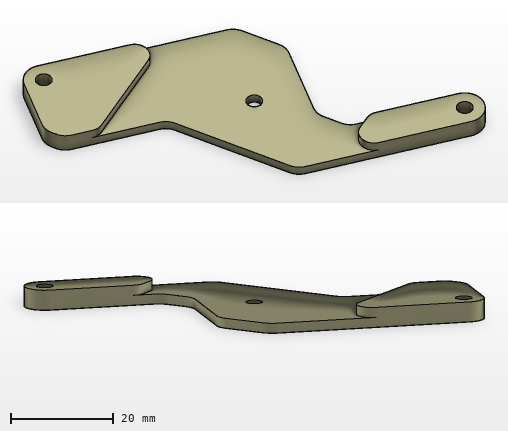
import cadquery as cq
import math

length = 83.6
half_width = 20.0
plate_thickness = 2.0
full_thickness = 4.0
corner_radius = 4.0
pad_radius = 3.0
hole_diameter = 3.2
touch_tolerance = 1e-6

half_length = length / 2
arm_inner_x = half_width - 2 * corner_radius
foot_right_x = -0.05
shoulder_y = 10.4
shoulder_chamfer = 8.0
arm_root_chamfer = 5.0
foot_chamfer = 2.95
slant_bottom_y = -17.65
slant_top_y = slant_bottom_y + half_width - foot_right_x
pad_edge_offset = 31.75

hole_x = half_width - corner_radius
hole_y = half_length - corner_radius
hole_centres = [(0, 0), (hole_x, hole_y), (-hole_x, -hole_y)]

arm_end_corners = [
    (half_width, half_length, corner_radius),
    (arm_inner_x, half_length, corner_radius),
]
foot_end_corners = [
    (-half_width, -half_length, corner_radius),
    (foot_right_x - foot_chamfer, -half_length, corner_radius),
    (foot_right_x, -half_length + foot_chamfer, corner_radius),
]
shoulder_corners = [
    (arm_inner_x, shoulder_y + arm_root_chamfer, corner_radius),
    (arm_inner_x - arm_root_chamfer, shoulder_y, corner_radius),
    (-half_width + shoulder_chamfer, shoulder_y, corner_radius),
    (-half_width, shoulder_y - shoulder_chamfer, corner_radius),
]
slant_corners = [
    (foot_right_x, slant_bottom_y, corner_radius),
    (half_width, slant_top_y, corner_radius),
]
arm_pad_edge_corners = [
    (arm_inner_x, pad_edge_offset - arm_inner_x, pad_radius),
    (half_width, pad_edge_offset - half_width, pad_radius),
]
foot_pad_edge_corners = [
    (foot_right_x, -pad_edge_offset - foot_right_x, pad_radius),
    (-half_width, -pad_edge_offset + half_width, pad_radius),
]


def corner_arc(previous, corner, following):
    """Start, middle and end of the tangent arc that rounds one outline corner."""
    x, y, radius = corner
    point = cq.Vector(x, y)
    back = (cq.Vector(previous[0], previous[1]) - point).normalized()
    ahead = (cq.Vector(following[0], following[1]) - point).normalized()
    half_angle = back.getAngle(ahead) / 2
    tangent_length = radius / math.tan(half_angle)
    middle_distance = radius / math.sin(half_angle) - radius
    middle = point + (back + ahead).normalized() * middle_distance
    return point + back * tangent_length, middle, point + ahead * tangent_length


def rounded_prism(corners, height):
    """Extrude a closed outline with rounded corners upward from Z = 0."""
    count = len(corners)
    arcs = [corner_arc(corners[i - 1], corners[i], corners[(i + 1) % count]) for i in range(count)]
    outline_start = arcs[0][0]
    path = cq.Workplane("XY").moveTo(outline_start.x, outline_start.y)
    position = outline_start
    for start, middle, end in arcs:
        if not position.toPnt().IsEqual(start.toPnt(), touch_tolerance):
            path = path.lineTo(start.x, start.y)
        path = path.threePointArc(middle.toTuple()[:2], end.toTuple()[:2])
        position = end
    return path.close().extrude(height)


plate = rounded_prism(arm_end_corners + shoulder_corners + foot_end_corners + slant_corners, plate_thickness)
arm_pad = rounded_prism(arm_end_corners + arm_pad_edge_corners, full_thickness)
foot_pad = rounded_prism(foot_end_corners + foot_pad_edge_corners, full_thickness)
holes = cq.Workplane("XY").pushPoints(hole_centres).circle(hole_diameter / 2).extrude(full_thickness)

result = plate.union(arm_pad).union(foot_pad).cut(holes)